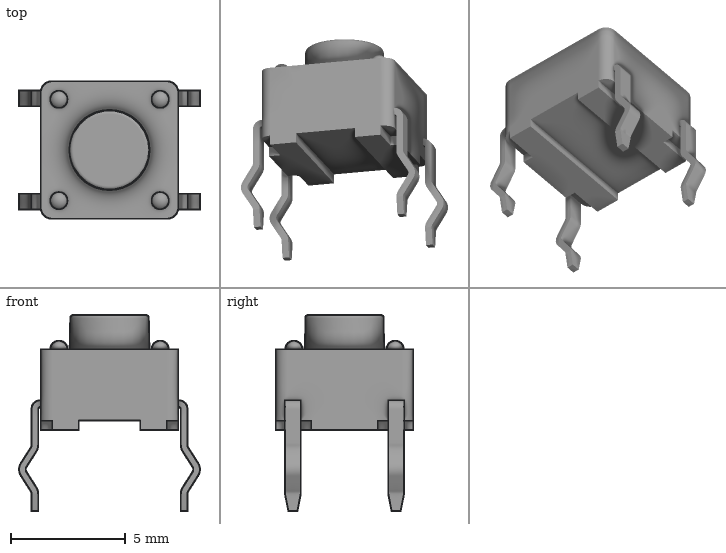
import cadquery as cq
import math


body_side = 6.0
body_top = 3.52
corner_radius = 0.5
foot_height = 0.41
channel_width = 2.68
foot_side_width = 2.9

button_base_diameter = 3.5
button_height = 1.5
button_draft_angle = 1.3
button_edge_radius = 0.145

dome_diameter = 0.75
dome_offset = 2.21

overall_width = 7.89
lead_thickness = 0.3
lead_width = 0.7
lead_offset_y = 2.25
lead_outer_x = 3.4
lead_top = 1.31
lead_bottom = -3.53
lead_tip_width = 0.4
lead_embed_depth = 0.17
shoulder_outer_radius = 0.4
spring_inner_radius = 0.201
spring_start = -0.66
spring_angle = math.radians(32.5)

half_body = body_side / 2


def make_housing():
    upper = (
        cq.Workplane("XY")
        .workplane(offset=foot_height)
        .rect(body_side, body_side)
        .extrude(body_top - foot_height)
        .edges("|Z")
        .fillet(corner_radius)
    )
    long_block_width = body_side - 2 * corner_radius
    long_block = cq.Workplane("XY").rect(long_block_width, body_side).extrude(foot_height)
    side_block = cq.Workplane("XY").rect(body_side, foot_side_width).extrude(foot_height)
    channel = cq.Workplane("XY").rect(channel_width, body_side).extrude(foot_height)
    feet = long_block.union(side_block).cut(channel)
    return upper.union(feet)


def make_button():
    return (
        cq.Workplane("XY")
        .workplane(offset=body_top)
        .circle(button_base_diameter / 2)
        .extrude(button_height, taper=button_draft_angle)
        .faces(">Z")
        .edges()
        .fillet(button_edge_radius)
    )


def make_domes():
    return (
        cq.Workplane("XY")
        .workplane(offset=body_top)
        .rect(2 * dome_offset, 2 * dome_offset, forConstruction=True)
        .vertices()
        .sphere(dome_diameter / 2)
    )


def make_lead():
    """Lead on the +X side, centred on Y = 0."""
    half_thickness = lead_thickness / 2
    root_x = half_body - lead_embed_depth
    root_z = lead_top - half_thickness
    leg_x = lead_outer_x - half_thickness
    shoulder_radius = shoulder_outer_radius - half_thickness

    bend_radius = spring_inner_radius + half_thickness
    bend_dx = bend_radius * (1 - math.cos(spring_angle))
    bend_dz = bend_radius * math.sin(spring_angle)
    kink_depth = overall_width / 2 - lead_outer_x
    slope_dz = (kink_depth - 2 * bend_dx) / math.tan(spring_angle)
    apex_x = leg_x + kink_depth
    apex_z = spring_start - 2 * bend_dz - slope_dz
    spring_end = 2 * apex_z - spring_start

    centreline = (
        cq.Workplane("XZ")
        .moveTo(root_x, root_z)
        .lineTo(leg_x - shoulder_radius, root_z)
        .tangentArcPoint((leg_x, root_z - shoulder_radius), relative=False)
        .lineTo(leg_x, spring_start)
        .tangentArcPoint((leg_x + bend_dx, spring_start - bend_dz), relative=False)
        .lineTo(apex_x - bend_dx, apex_z + bend_dz)
        .tangentArcPoint((apex_x - bend_dx, apex_z - bend_dz), relative=False)
        .lineTo(leg_x + bend_dx, spring_end + bend_dz)
        .tangentArcPoint((leg_x, spring_end), relative=False)
        .lineTo(leg_x, lead_bottom)
    )
    strip = (
        cq.Workplane("YZ", origin=(root_x, 0, root_z))
        .rect(lead_width, lead_thickness)
        .sweep(centreline)
    )

    side_outline = (
        cq.Workplane("YZ")
        .moveTo(-lead_width / 2, lead_top)
        .lineTo(-lead_width / 2, spring_end)
        .lineTo(-lead_tip_width / 2, lead_bottom)
        .lineTo(lead_tip_width / 2, lead_bottom)
        .lineTo(lead_width / 2, spring_end)
        .lineTo(lead_width / 2, lead_top)
        .close()
        .extrude(overall_width / 2)
    )
    return strip.intersect(side_outline)


result = make_housing().union(make_button()).union(make_domes())

right_lead = make_lead()
left_lead = right_lead.mirror("YZ")
for lead_y in (-lead_offset_y, lead_offset_y):
    for lead in (left_lead, right_lead):
        result = result.union(lead.translate((0, lead_y, 0)))